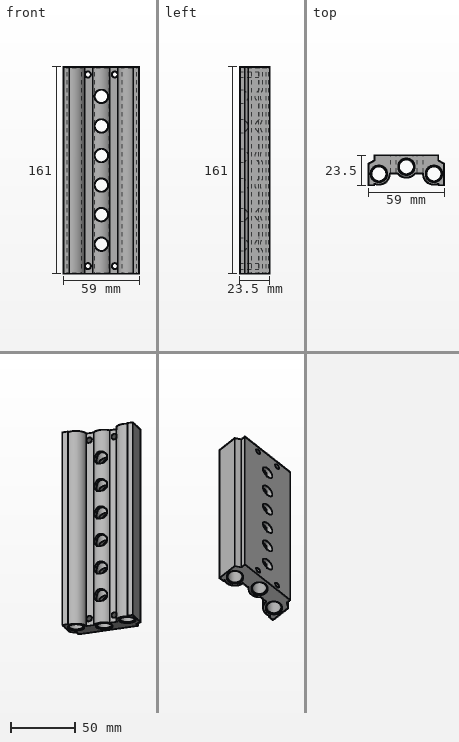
import cadquery as cq
import math

length = 161.0
width = 59.0
depth = 23.5
back_y = depth / 2
front_y = -depth / 2

back_half_width = 25.0
step_depth = 4.0
slope_end_depth = 6.6

bore_diameter = 11.5
bore_chamfer = 0.8
wall_radius = 8.5
side_bore_x = 21.4
side_bore_y = back_y - 14.5
middle_bore_y = back_y - 9.0

floor_depth = 14.3
floor_y = back_y - floor_depth

foot_inner_x = 25.0

port_count = 6
port_diameter = 10.3
port_pitch = length / (port_count + 1)

mount_diameter = 4.5
mount_x = 10.5
mount_end_distance = 6.0


def half_profile():
    """Right half of the cross-section, from the middle of the back to the middle of the front."""
    half_width = width / 2
    foot_arc_y = side_bore_y - math.sqrt(wall_radius**2 - (foot_inner_x - side_bore_x) ** 2)
    diagonal = wall_radius * math.sqrt(0.5)
    middle_half_chord = math.sqrt(wall_radius**2 - (middle_bore_y - floor_y) ** 2)
    middle_front_y = middle_bore_y - wall_radius
    half_angle = math.asin(middle_half_chord / wall_radius) / 2
    middle_arc_point = (
        wall_radius * math.sin(half_angle),
        middle_bore_y - wall_radius * math.cos(half_angle),
    )
    return (
        cq.Workplane("XY")
        .workplane(offset=-length / 2)
        .moveTo(0, back_y)
        .lineTo(back_half_width, back_y)
        .lineTo(back_half_width, back_y - step_depth)
        .lineTo(half_width, back_y - slope_end_depth)
        .lineTo(half_width, front_y)
        .lineTo(foot_inner_x, front_y)
        .lineTo(foot_inner_x, foot_arc_y)
        .threePointArc(
            (side_bore_x - diagonal, side_bore_y - diagonal),
            (side_bore_x - wall_radius, side_bore_y),
        )
        .lineTo(side_bore_x - wall_radius, floor_y)
        .lineTo(middle_half_chord, floor_y)
        .threePointArc(middle_arc_point, (0, middle_front_y))
        .close()
    )


def make_body():
    half = half_profile().extrude(length)
    return half.union(half.mirror("YZ")).clean()


def bore_cutter(x, y):
    """Full-length bore that flares into a chamfer at both ends."""
    radius = bore_diameter / 2
    mouth_radius = radius + bore_chamfer
    half_length = length / 2
    return (
        cq.Workplane("XZ")
        .moveTo(0, -half_length)
        .lineTo(mouth_radius, -half_length)
        .lineTo(radius, -half_length + bore_chamfer)
        .lineTo(radius, half_length - bore_chamfer)
        .lineTo(mouth_radius, half_length)
        .lineTo(0, half_length)
        .close()
        .revolve(360, (0, 0, 0), (0, 1, 0))
        .translate((x, y, 0))
    )


def cross_holes(points, diameter):
    """Holes running from front to back through the whole depth, at (x, z) points."""
    return cq.Workplane("XZ").pushPoints(points).circle(diameter / 2).extrude(depth, both=True)


bore_centres = [
    (-side_bore_x, side_bore_y),
    (0, middle_bore_y),
    (side_bore_x, side_bore_y),
]
port_points = [(0, (i + 1) * port_pitch - length / 2) for i in range(port_count)]
mount_z = length / 2 - mount_end_distance
mount_points = [(sx * mount_x, sz * mount_z) for sx in (-1, 1) for sz in (-1, 1)]

result = make_body()
for centre_x, centre_y in bore_centres:
    result = result.cut(bore_cutter(centre_x, centre_y))
result = result.cut(cross_holes(port_points, port_diameter))
result = result.cut(cross_holes(mount_points, mount_diameter))